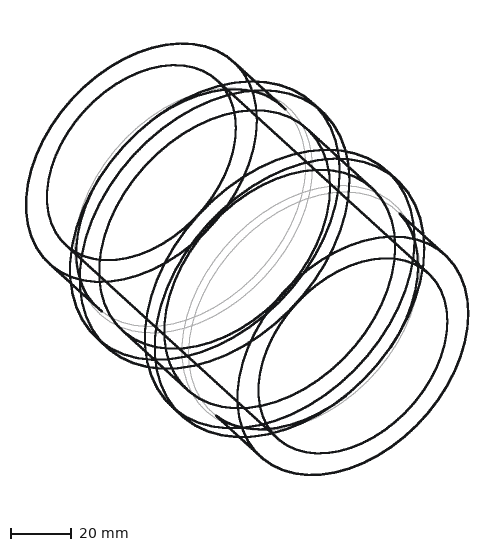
import cadquery as cq

length = 130
pipe_diameter = 90.0
bore_diameter = 73.6

collar_diameter = 105.0
collar_gap = 40.0
collar_rim_width = 6.0
flank_root_fillet = 3.5

pipe_radius = pipe_diameter / 2
collar_radius = collar_diameter / 2
collar_inner_x = collar_gap / 2
rim_end_x = collar_inner_x + collar_rim_width
flank_root_x = rim_end_x + collar_radius - pipe_radius


def make_body():
    """Solid pipe with both collars, revolved about X."""
    return (
        cq.Workplane("XY")
        .moveTo(-length / 2, 0)
        .lineTo(-length / 2, pipe_radius)
        .lineTo(-flank_root_x, pipe_radius)
        .lineTo(-rim_end_x, collar_radius)
        .lineTo(-collar_inner_x, collar_radius)
        .lineTo(-collar_inner_x, pipe_radius)
        .lineTo(collar_inner_x, pipe_radius)
        .lineTo(collar_inner_x, collar_radius)
        .lineTo(rim_end_x, collar_radius)
        .lineTo(flank_root_x, pipe_radius)
        .lineTo(length / 2, pipe_radius)
        .lineTo(length / 2, 0)
        .close()
        .revolve(360, (0, 0, 0), (1, 0, 0))
    )


def fillet_flank_root(body, root_x):
    """Round the corner where a collar flank meets the pipe."""
    flank_root = cq.selectors.NearestToPointSelector((root_x, 0, 0))
    return body.edges("%CIRCLE").edges(flank_root).fillet(flank_root_fillet)


body = make_body()
for side in (-1, 1):
    body = fillet_flank_root(body, side * flank_root_x)

bore = cq.Workplane("YZ").circle(bore_diameter / 2).extrude(length / 2, both=True)
result = body.cut(bore)